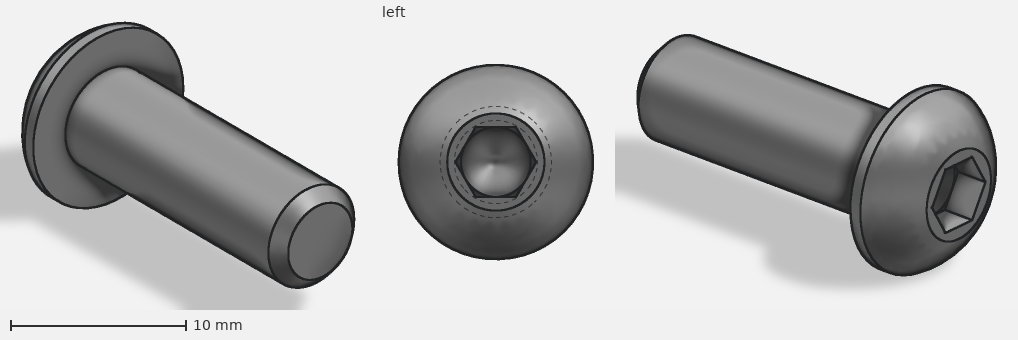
import cadquery as cq
import math

total_length = 22.4
head_diameter = 11.1
head_height = 3.35
rim_thickness = 0.76
crown_flat_diameter = 5.55
dome_bulge = 0.35
shank_diameter = 6.36
tip_chamfer = 0.8
socket_across_flats = 3.99
socket_depth = 2.08
socket_cone_angle = 120.0

head_radius = head_diameter / 2
crown_radius = crown_flat_diameter / 2
shank_radius = shank_diameter / 2
dome_height = head_height - rim_thickness


def make_body():
    """Revolve the half outline of the domed head and chamfered shank."""
    dome_rise = head_radius - crown_radius
    chord = math.hypot(dome_height, dome_rise)
    dome_middle = (
        dome_height / 2 - dome_bulge * dome_rise / chord,
        (crown_radius + head_radius) / 2 + dome_bulge * dome_height / chord,
    )
    return (
        cq.Workplane("XY")
        .lineTo(0, crown_radius)
        .threePointArc(dome_middle, (dome_height, head_radius))
        .lineTo(head_height, head_radius)
        .lineTo(head_height, shank_radius)
        .lineTo(total_length - tip_chamfer, shank_radius)
        .lineTo(total_length, shank_radius - tip_chamfer)
        .lineTo(total_length, 0)
        .close()
        .revolve(360, (0, 0, 0), (1, 0, 0))
    )


def make_socket():
    """Hexagonal socket with corners on the Y axis and a conical bottom."""
    corner_diameter = socket_across_flats / math.cos(math.pi / 6)
    hexagon = cq.Workplane("YZ").polygon(6, corner_diameter).extrude(socket_depth)
    cone_radius = socket_across_flats / 2
    cone_depth = cone_radius / math.tan(math.radians(socket_cone_angle / 2))
    cone = cq.Workplane(
        cq.Solid.makeCone(
            cone_radius, 0, cone_depth, cq.Vector(socket_depth, 0, 0), cq.Vector(1, 0, 0)
        )
    )
    return hexagon.union(cone)


result = make_body().cut(make_socket())